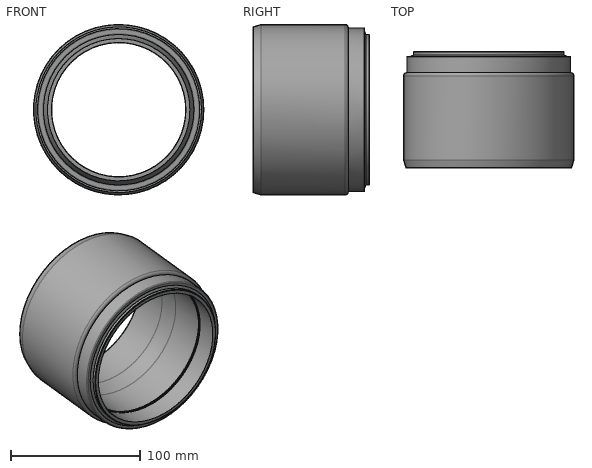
import cadquery as cq

length = 90.0
front_chamfer_length = 6.0
cone_start = 29.0
cone_end = 42.0
bore_groove_start = 71.4
bore_groove_width = 1.4
shoulder_station = 73.7
rear_face_station = 86.4
lip_root_station = 87.3

body_diameter = 132.0
front_face_diameter = 128.3
shoulder_diameter = 126.9
rear_face_inner_diameter = 121.1
lip_diameter = 116.8

front_bore_diameter = 103.8
rear_bore_diameter = 110.7
bore_groove_diameter = 112.0

pocket_outer_diameter = 125.6
sleeve_front_diameter = 110.2
sleeve_rear_diameter = 116.5
outer_wall = (body_diameter - pocket_outer_diameter) / 2
pocket_depth = shoulder_station - outer_wall

body_rear_fillet = 2.4
shoulder_fillet = 0.9
lip_chamfer = 0.4
pocket_bottom_fillet = 0.5


def revolve_profile(points):
    """Revolve a closed outline of (diameter, station) points around the Y axis."""
    outline = [(diameter / 2, station - length / 2) for diameter, station in points]
    return cq.Workplane("XY").polyline(outline).close().revolve(360, (0, 0), (0, 1))


def cylinder(diameter, start, end):
    return revolve_profile([(0, start), (diameter, start), (diameter, end), (0, end)])


def make_main_body():
    body = revolve_profile([
        (0, 0),
        (front_face_diameter, 0),
        (body_diameter, front_chamfer_length),
        (body_diameter, shoulder_station),
        (0, shoulder_station),
    ])
    return body.faces(">Y").edges().fillet(body_rear_fillet)


def make_shoulder():
    shoulder = cylinder(shoulder_diameter, pocket_depth, rear_face_station)
    return shoulder.faces(">Y").edges().fillet(shoulder_fillet)


def make_rear_lip():
    """Lip with a shallow conical root that spreads onto the rear face."""
    lip = revolve_profile([
        (0, rear_face_station),
        (rear_face_inner_diameter, rear_face_station),
        (lip_diameter, lip_root_station),
        (lip_diameter, length),
        (0, length),
    ])
    return lip.faces(">Y").edges().chamfer(lip_chamfer)


def make_bore():
    """Through bore that widens along a cone, with a narrow groove near the rear."""
    bore = revolve_profile([
        (0, 0),
        (front_bore_diameter, 0),
        (front_bore_diameter, cone_start),
        (rear_bore_diameter, cone_end),
        (rear_bore_diameter, length),
        (0, length),
    ])
    groove = cylinder(bore_groove_diameter, bore_groove_start, bore_groove_start + bore_groove_width)
    return bore.union(groove)


def make_front_pocket():
    """Deep annular pocket that follows the outside of the inner sleeve."""
    pocket = revolve_profile([
        (sleeve_front_diameter, 0),
        (pocket_outer_diameter, 0),
        (pocket_outer_diameter, pocket_depth),
        (sleeve_rear_diameter, pocket_depth),
        (sleeve_rear_diameter, cone_end),
        (sleeve_front_diameter, cone_start),
    ])
    return pocket.faces(">Y").edges().fillet(pocket_bottom_fillet)


solid_body = make_main_body().union(make_shoulder()).union(make_rear_lip())
result = solid_body.cut(make_bore()).cut(make_front_pocket())